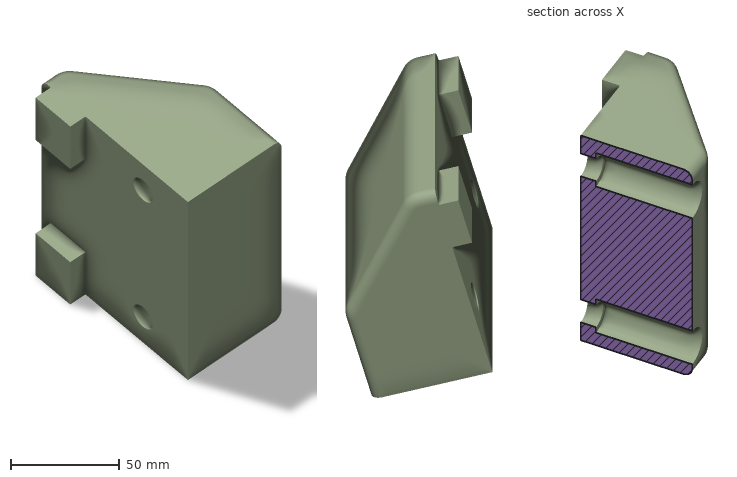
import cadquery as cq

width = 101.5
height = 124.0
body_depth = 58.0
slope_start_x = 53.6
slope_start_y = 13.1
edge_radius = 5.1

foot_left = 6.5
foot_width = 24.0
foot_height = 29.5
foot_depth = 9.4
foot_root_radius = 0.5

hole_x = 70.4
hole_spacing = 88.3
hole_diameter = 13.5
head_bore_diameter = 20.0
floor_thickness = 8.0


def make_body():
    profile = [
        (0, 0),
        (width, 0),
        (width, body_depth),
        (slope_start_x, body_depth),
        (0, slope_start_y),
    ]
    body = cq.Workplane("XY").polyline(profile).close().extrude(height)
    slope_corners = [
        (slope_start_x, body_depth, height / 2),
        (0, slope_start_y, height / 2),
    ]
    for corner in slope_corners:
        body = body.edges(cq.selectors.NearestToPointSelector(corner)).fillet(2 * edge_radius)
    end_edges = body.faces("<Z or >Z").edges("not(<Y or >X)")
    return body.newObject(end_edges.vals()).fillet(edge_radius)


def make_foot(base_z):
    """Foot with a small concave fillet along each side of its root."""
    r = foot_root_radius
    right = foot_left + foot_width
    return (
        cq.Workplane("XY", origin=(0, 0, base_z))
        .moveTo(foot_left - r, 0)
        .radiusArc((foot_left, -r), r)
        .lineTo(foot_left, -foot_depth)
        .lineTo(right, -foot_depth)
        .lineTo(right, -r)
        .radiusArc((right + r, 0), r)
        .close()
        .extrude(foot_height)
    )


def bores(diameter, start_y):
    """Pair of cylinders along Y, from start_y through the back face."""
    centres = [(hole_x, (height + side * hole_spacing) / 2) for side in (-1, 1)]
    return (
        cq.Workplane("XZ", origin=(0, start_y, 0))
        .pushPoints(centres)
        .circle(diameter / 2)
        .extrude(start_y - body_depth)
    )


result = make_body()
for base_z in (0, height - foot_height):
    result = result.union(make_foot(base_z))
result = result.cut(bores(hole_diameter, 0))
result = result.cut(bores(head_bore_diameter, floor_thickness))